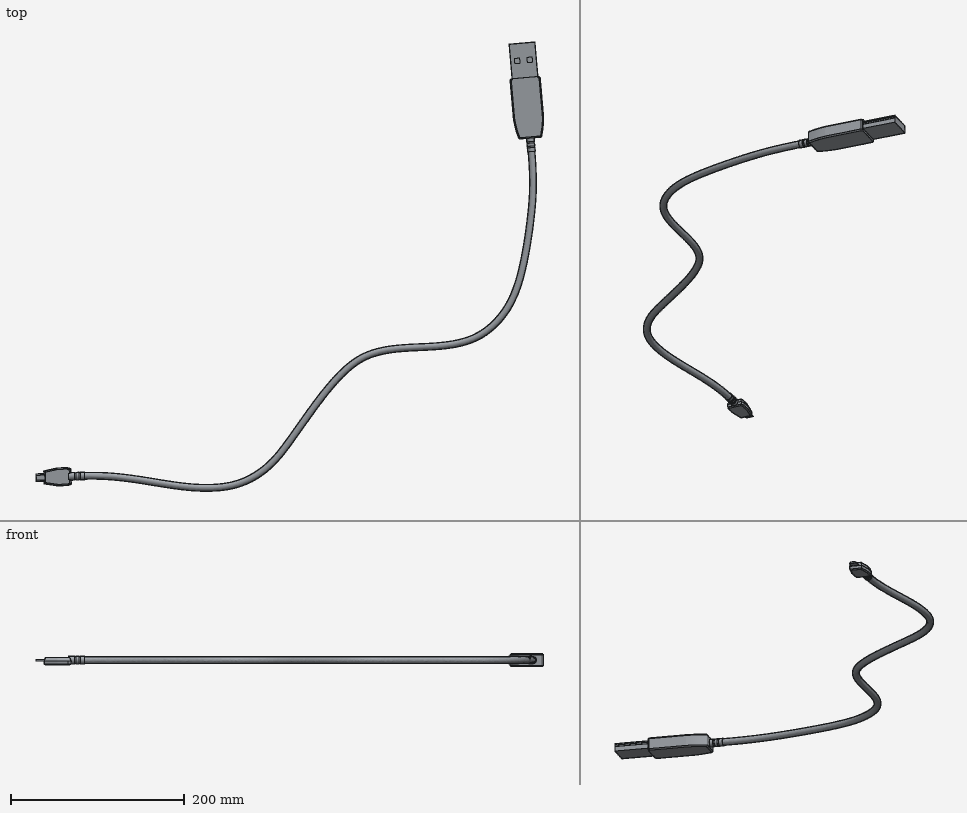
import cadquery as cq
import math


CORD_DIA = 8.0
CORD_BENDS = [
    (-172.0, -245.8),
    (-92.0, -254.9),
    (-58.0, -249.6),
    (-24.0, -229.2),
    (3.0, -196.6),
    (29.0, -160.2),
    (55.0, -128.3),
    (82.0, -106.0),
    (150.0, -92.8),
    (219.0, -79.0),
    (249.8, -49.0),
    (269.2, 3.5),
    (277.6, 56.0),
]

RELIEF_DIA = 9.0
RELIEF_LENGTH = 15.5
RELIEF_GROOVE_DEPTH = 0.5
RELIEF_GROOVE_WIDTH = 1.75
RELIEF_GROOVE_STARTS = (4.0, 9.25)
JOINT_OVERLAP = 3.0

USB_REAR = (277.1, 148.0)
USB_TURN = 5.0
GRIP_LENGTH = 70.0
GRIP_WIDTH = 35.0
GRIP_HEIGHT = 15.0
GRIP_REAR_WIDTH = 26.0
GRIP_TAPER_LENGTH = 24.0
GRIP_TAPER_BULGE = 0.8
GRIP_REAR_FILLET = 2.0
GRIP_FRONT_CUT = 1.5
GRIP_EDGE_CHAMFER = 1.5
SHELL_LENGTH = 40.0
SHELL_WIDTH = 30.0
SHELL_HEIGHT = 9.0
SHELL_GROOVE_BOTTOM = 1.0
SHELL_GROOVE_HEIGHT = 1.8
SHELL_GROOVE_DEPTH = 0.3
WINDOW_SIZE = 6.0
WINDOW_SPACING = 14.5
WINDOW_TO_TIP = 20.0
WINDOW_DEPTH = 2.0

MICRO_REAR = (-252.0, -241.7)
MICRO_TURN = 2.2
MICRO_LENGTH = 31.2
MICRO_FRONT_WIDTH = 15.0
MICRO_WIDTH = 20.8
MICRO_REAR_WIDTH = 18.0
MICRO_WIDEST_START = 15.5
MICRO_WIDEST_END = 4.0
MICRO_PARTING_Z = -1.25
MICRO_HALF_HEIGHT = 4.3
MICRO_UPPER_INSET = 1.8
MICRO_LOWER_INSET = 0.6
MICRO_BOTTOM_CHAMFER = 1.2
TIP_LENGTH = 9.15
TIP_WIDTH = 9.0
TIP_HEIGHT = 2.0
TIP_CHAMFER_WIDTH = 1.8


def unit_vector(degrees):
    angle = math.radians(degrees)
    return cq.Vector(math.cos(angle), math.sin(angle), 0)


def place(shape, position, turn):
    return shape.rotate((0, 0, 0), (0, 0, 1), turn).translate((position[0], position[1], 0))


def strain_relief(start, direction):
    """Ringed cylinder that leaves a plug at start and runs along direction."""
    radius = RELIEF_DIA / 2
    plane = cq.Plane(origin=start.toTuple(), xDir=(0, 0, 1), normal=direction.toTuple())
    relief = (
        cq.Workplane(plane)
        .workplane(offset=-JOINT_OVERLAP)
        .circle(radius)
        .extrude(RELIEF_LENGTH + JOINT_OVERLAP)
    )
    for groove_start in RELIEF_GROOVE_STARTS:
        groove = (
            cq.Workplane(plane)
            .workplane(offset=groove_start)
            .circle(RELIEF_DIA)
            .circle(radius - RELIEF_GROOVE_DEPTH)
            .extrude(RELIEF_GROOVE_WIDTH)
        )
        relief = relief.cut(groove)
    return relief


def cord(start, start_direction, end, end_direction):
    bends = [cq.Vector(x, y, 0) for x, y in CORD_BENDS]
    path = cq.Edge.makeSpline([start, *bends, end], tangents=[start_direction, end_direction])
    section = cq.Plane(origin=start.toTuple(), xDir=(0, 0, 1), normal=start_direction.toTuple())
    return cq.Workplane(section).circle(CORD_DIA / 2).sweep(cq.Workplane(path))


def usb_grip():
    half = GRIP_WIDTH / 2
    rear_half = GRIP_REAR_WIDTH / 2
    front_half = half - GRIP_FRONT_CUT
    cut_y = GRIP_LENGTH - GRIP_FRONT_CUT
    bulge_x = (half + rear_half) / 2 + GRIP_TAPER_BULGE
    bulge_y = GRIP_TAPER_LENGTH / 2
    return (
        cq.Workplane("XY")
        .workplane(offset=-GRIP_HEIGHT / 2)
        .moveTo(-rear_half, 0)
        .lineTo(rear_half, 0)
        .threePointArc((bulge_x, bulge_y), (half, GRIP_TAPER_LENGTH))
        .lineTo(half, cut_y)
        .lineTo(front_half, GRIP_LENGTH)
        .lineTo(-front_half, GRIP_LENGTH)
        .lineTo(-half, cut_y)
        .lineTo(-half, GRIP_TAPER_LENGTH)
        .threePointArc((-bulge_x, bulge_y), (-rear_half, 0))
        .close()
        .extrude(GRIP_HEIGHT)
        .edges("|Z and <Y")
        .fillet(GRIP_REAR_FILLET)
        .faces("<Z or >Z")
        .edges("not >Y")
        .chamfer(GRIP_EDGE_CHAMFER)
    )


def usb_shell():
    tip_y = GRIP_LENGTH + SHELL_LENGTH
    length = SHELL_LENGTH + JOINT_OVERLAP
    middle_y = tip_y - length / 2
    shell = cq.Workplane("XY").box(SHELL_WIDTH, length, SHELL_HEIGHT).translate((0, middle_y, 0))
    window_y = tip_y - WINDOW_TO_TIP
    for side in (-1, 1):
        window = (
            cq.Workplane("XY")
            .box(WINDOW_SIZE, WINDOW_SIZE, 2 * WINDOW_DEPTH)
            .translate((side * WINDOW_SPACING / 2, window_y, SHELL_HEIGHT / 2))
        )
        groove = (
            cq.Workplane("XY")
            .box(2 * SHELL_GROOVE_DEPTH, length, SHELL_GROOVE_HEIGHT)
            .translate(
                (side * SHELL_WIDTH / 2, middle_y, SHELL_GROOVE_BOTTOM + SHELL_GROOVE_HEIGHT / 2)
            )
        )
        shell = shell.cut(window).cut(groove)
    return shell


def micro_grip():
    """Two halves that narrow away from the parting plane, the upper one more steeply."""
    half = MICRO_WIDTH / 2
    front_half = MICRO_FRONT_WIDTH / 2
    rear_half = MICRO_REAR_WIDTH / 2
    outline = [
        (-MICRO_LENGTH, front_half),
        (-MICRO_WIDEST_START, half),
        (-MICRO_WIDEST_END, half),
        (0, rear_half),
        (0, -rear_half),
        (-MICRO_WIDEST_END, -half),
        (-MICRO_WIDEST_START, -half),
        (-MICRO_LENGTH, -front_half),
    ]
    plane = cq.Workplane("XY").workplane(offset=MICRO_PARTING_Z)
    upper_draft = math.degrees(math.atan2(MICRO_UPPER_INSET, MICRO_HALF_HEIGHT))
    lower_draft = math.degrees(math.atan2(MICRO_LOWER_INSET, MICRO_HALF_HEIGHT))
    upper = plane.polyline(outline).close().extrude(MICRO_HALF_HEIGHT, taper=upper_draft)
    lower = plane.polyline(outline).close().extrude(-MICRO_HALF_HEIGHT, taper=lower_draft)
    lower = lower.faces("<Z").edges().chamfer(MICRO_BOTTOM_CHAMFER)
    return upper.union(lower)


def micro_tip():
    """Flat tongue with sloping long edges."""
    foot = TIP_WIDTH / 2
    crown = foot - TIP_CHAMFER_WIDTH
    half_height = TIP_HEIGHT / 2
    section = [(-foot, -half_height), (foot, -half_height), (crown, half_height), (-crown, half_height)]
    return (
        cq.Workplane("YZ")
        .workplane(offset=-MICRO_LENGTH - TIP_LENGTH)
        .polyline(section)
        .close()
        .extrude(TIP_LENGTH + JOINT_OVERLAP)
    )


usb_plug = place(usb_grip().union(usb_shell()), USB_REAR, USB_TURN)
micro_plug = place(micro_grip().union(micro_tip()), MICRO_REAR, MICRO_TURN)

usb_direction = unit_vector(90 + USB_TURN)
micro_direction = unit_vector(MICRO_TURN)
usb_rear = cq.Vector(*USB_REAR)
micro_rear = cq.Vector(*MICRO_REAR)
cord_start = micro_rear + micro_direction * RELIEF_LENGTH
cord_end = usb_rear - usb_direction * RELIEF_LENGTH

result = (
    cord(cord_start, micro_direction, cord_end, usb_direction)
    .union(strain_relief(micro_rear, micro_direction))
    .union(strain_relief(usb_rear, usb_direction * -1))
    .union(micro_plug)
    .union(usb_plug)
)